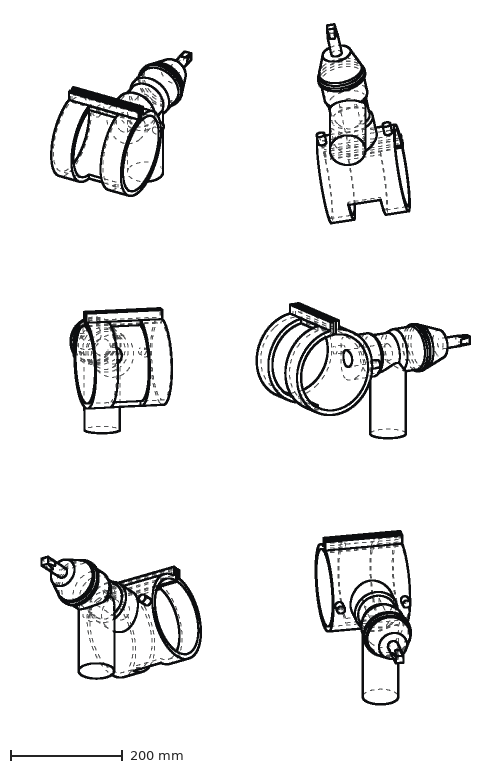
import cadquery as cq


ring_width = 140.0
ring_radius = 78.5
bore_radius = 69.8
lug_top = 94.5
lug_span = 18.5
split_gap = 4.8
window_width = 58.5
window_start = 10.0

pin_radius = 7.0
pin_end = 96.5
pin_offset = 60.0

body_radius = 39.0
neck_radius = 34.3
bead_radius = 42.5
cone_tip_radius = 25.5
shoulder_start = 117.0
neck_start = 122.5
neck_end = 157.5
barrel_start = 170.5
bead_start = 207.0
bead_crest_start = 210.0
bead_crest_end = 215.5
bead_end = 219.0
cone_start = 225.0
cone_end = 262.5

overall_length = 398.8
spindle_radius = 9.5
spindle_end = overall_length - ring_radius
square_length = 20.0
square_end_size = 14.0
square_base_size = 17.0

branch_radius = 32.0
branch_position = 153.5
branch_bottom = -151.0
passage_radius = 15.0


def cylinder_along_y(radius, start, end, x=0):
    """Round bar along Y, between two distances from the ring axis."""
    plane = cq.Plane(origin=(x, start, 0), xDir=(1, 0, 0), normal=(0, 1, 0))
    return cq.Workplane(plane).circle(radius).extrude(end - start)


def cylinder_along_x(radius):
    """Round bar along X over the full width of the ring."""
    return cq.Workplane("YZ", origin=(-ring_width / 2, 0, 0)).circle(radius).extrude(ring_width)


def make_clamp():
    """Outside of the clamp: the solid ring and the lug block above it."""
    lugs = cq.Workplane("XY").box(ring_width, lug_span, lug_top, centered=(True, True, False))
    return cylinder_along_x(ring_radius).union(lugs)


def make_valve_body():
    """Body turned about Y, from the ring axis to the end of the cone."""
    profile = [
        (0, 0),
        (body_radius, 0),
        (body_radius, shoulder_start),
        (neck_radius, neck_start),
        (neck_radius, neck_end),
        (body_radius, barrel_start),
        (body_radius, bead_start),
        (bead_radius, bead_crest_start),
        (bead_radius, bead_crest_end),
        (body_radius, bead_end),
        (body_radius, cone_start),
        (cone_tip_radius, cone_end),
        (0, cone_end),
    ]
    return cq.Workplane("XY").polyline(profile).close().revolve(360, (0, 0, 0), (0, 1, 0))


def make_spindle():
    """Round spindle whose end is cut to a square that narrows to the tip."""
    square_start = spindle_end - square_length
    plane = cq.Plane(origin=(0, square_start, 0), xDir=(1, 0, 0), normal=(0, 1, 0))
    square_taper = (
        cq.Workplane(plane)
        .rect(square_base_size, square_base_size)
        .workplane(offset=square_length)
        .rect(square_end_size, square_end_size)
        .loft(ruled=True)
    )
    square_end = cylinder_along_y(spindle_radius, square_start, spindle_end).intersect(square_taper)
    return cylinder_along_y(spindle_radius, cone_start, square_start).union(square_end)


def make_branch():
    """Branch pipe from the body axis down to its open end."""
    return (
        cq.Workplane("XY", origin=(0, branch_position, 0))
        .circle(branch_radius)
        .extrude(branch_bottom)
    )


def make_split():
    """Gap that separates the two lugs and opens the ring at the top."""
    return cq.Workplane("XY").box(ring_width, split_gap, lug_top, centered=(True, True, False))


def make_window():
    """Opening through the ring wall on the side away from the valve body."""
    depth = ring_radius - window_start
    middle = -(ring_radius + window_start) / 2
    return cq.Workplane("XY", origin=(0, middle, 0)).box(window_width, depth, 2 * ring_radius)


result = make_clamp().union(make_valve_body()).union(make_spindle()).union(make_branch())
for side in (-1, 1):
    result = result.union(cylinder_along_y(pin_radius, 0, pin_end, side * pin_offset))

result = result.cut(cylinder_along_x(bore_radius)).cut(make_split()).cut(make_window())
result = result.cut(cylinder_along_y(passage_radius, 0, branch_position))